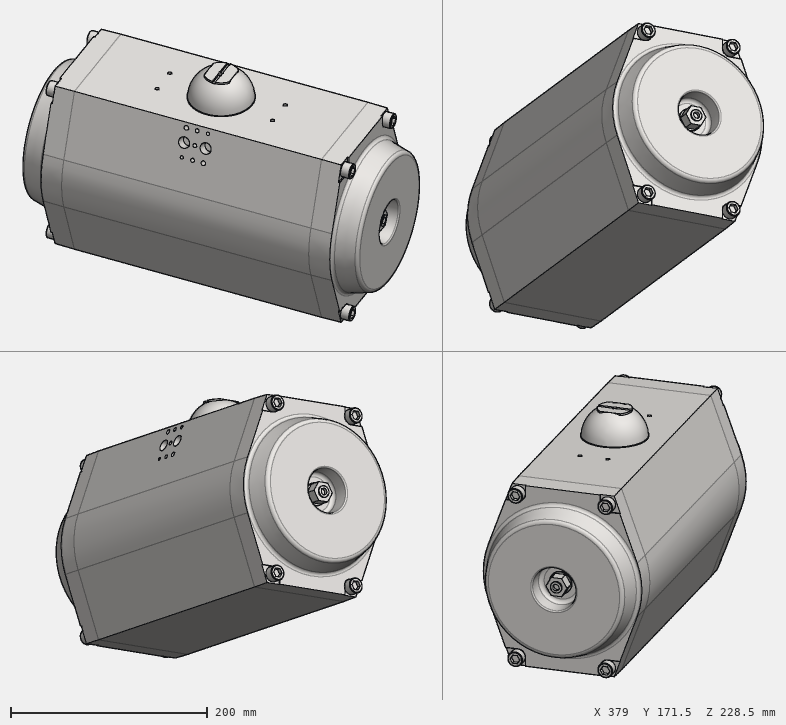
import cadquery as cq
import math


overall_length = 379.0
body_width = 171.5
body_radius = body_width / 2
body_half_height = 99.0
flank_angle = 20.0
seam_x = 139.0
flange_x = 162.5
cap_taper = 0.5

cover_face_x = overall_length / 2
cover_face_diameter = 141.5
cover_face_radius = cover_face_diameter / 2
cover_rim_radius = 4.5
cover_draft = 15.0
cover_root_radius = 4.0

recess_mouth_diameter = 47.0
recess_diameter = 45.0
recess_depth = 22.0
recess_rim_radius = 1.5
recess_floor_radius = 4.5
washer_diameter = 24.0
washer_thickness = 2.0
nut_corners = 22.7
nut_face_depth = 7.5
stud_diameter = 12.0
stud_height = 1.5
stud_hole_diameter = 7.0
stud_hole_depth = 3.8

screw_y = 48.5
screw_z = 89.0
screw_head_diameter = 16.0
screw_head_x = 171.0
screw_pocket_depth = 1.5
screw_pocket_radius = 8.5
screw_pocket_size = 38.0
screw_head_chamfer = 0.8
socket_corners = 10.2
socket_depth = 4.5

dome_diameter = 69.0
base_ring_diameter = 69.7
base_ring_height = 0.8
indicator_height = 30.5
spindle_diameter = 36.0
spindle_flats = 28.5
slot_width = 3.5
slot_depth = 2.3
center_hole_diameter = 5.0
center_hole_depth = 5.5

top_hole_pitch_x = 130.0
top_hole_pitch_y = 30.0
top_hole_diameter = 4.0
top_hole_depth = 7.5

port_drop = 20.5
port_diameter = 12.0
port_depth = 12.5
port_pitch_x = 12.0
port_pitch_slope = 16.0
small_hole_depth = 11.5
middle_hole_diameter = 4.0
wide_hole_diameter = 5.0
narrow_hole_diameter = 3.5

sin_flank = math.sin(math.radians(flank_angle))
cos_flank = math.cos(math.radians(flank_angle))


def flank_y(radius, z):
    """Half width at height z on a flank tangent to a circle of the given radius."""
    return (radius - z * sin_flank) / cos_flank


def body_outline(workplane, radius, half_height=body_half_height):
    """Flat top and bottom, sloping flanks, and side arcs tangent to the flanks."""
    top_y = flank_y(radius, half_height)
    tangent_y = radius * cos_flank
    tangent_z = radius * sin_flank
    return (
        workplane.moveTo(-top_y, half_height)
        .lineTo(top_y, half_height)
        .lineTo(tangent_y, tangent_z)
        .threePointArc((radius, 0), (tangent_y, -tangent_z))
        .lineTo(top_y, -half_height)
        .lineTo(-top_y, -half_height)
        .lineTo(-tangent_y, -tangent_z)
        .threePointArc((-radius, 0), (-tangent_y, tangent_z))
        .close()
    )


def cylinder_x(diameter, x_start, x_end, y=0, z=0):
    plane = cq.Workplane("YZ", origin=(x_start, y, z))
    return plane.circle(diameter / 2).extrude(x_end - x_start)


def hexagon_x(corners, x_start, x_end, y=0, z=0):
    """Hexagonal prism along X with two corners pointing along Y."""
    plane = cq.Workplane("YZ", origin=(x_start, y, z))
    return plane.polygon(6, corners).extrude(x_end - x_start)


def make_cap():
    """End cap tapering slightly from the body seam to its outer face."""
    end_radius = body_radius - cap_taper
    end_half_height = body_half_height - cap_taper
    start = body_outline(cq.Workplane("YZ", origin=(seam_x, 0, 0)), body_radius)
    ends = body_outline(start.workplane(offset=flange_x - seam_x), end_radius, end_half_height)
    return ends.loft(ruled=True)


def make_cover():
    """Turned cover: rounded rim, drafted wall and a fillet running out on the cap face."""
    sin_draft = math.sin(math.radians(cover_draft))
    cos_draft = math.cos(math.radians(cover_draft))
    rim_center_x = cover_face_x - cover_rim_radius
    wall_top_x = rim_center_x + cover_rim_radius * sin_draft
    wall_top_radius = cover_face_radius + cover_rim_radius * cos_draft
    half_draft = math.radians(45 + cover_draft / 2)
    rim_mid_x = rim_center_x + cover_rim_radius * math.sin(half_draft)
    rim_mid_radius = cover_face_radius + cover_rim_radius * math.cos(half_draft)
    wall_foot_x = flange_x + cover_root_radius * (1 - sin_draft)
    wall_foot_radius = wall_top_radius + (wall_top_x - wall_foot_x) * sin_draft / cos_draft
    root_center_x = flange_x + cover_root_radius
    root_center_radius = wall_foot_radius + cover_root_radius * cos_draft
    root_mid_x = root_center_x - cover_root_radius * math.sin(half_draft)
    root_mid_radius = root_center_radius - cover_root_radius * math.cos(half_draft)
    profile = (
        cq.Workplane("XY")
        .moveTo(seam_x, 0)
        .lineTo(cover_face_x, 0)
        .lineTo(cover_face_x, cover_face_radius)
        .threePointArc((rim_mid_x, rim_mid_radius), (wall_top_x, wall_top_radius))
        .lineTo(wall_foot_x, wall_foot_radius)
        .threePointArc((root_mid_x, root_mid_radius), (flange_x, root_center_radius))
        .lineTo(seam_x, root_center_radius)
        .close()
    )
    return profile.revolve(360, (0, 0, 0), (1, 0, 0))


def add_cover_recess(end):
    """Round recess with a washer, hexagon nut and drilled stud on its floor."""
    floor_x = cover_face_x - recess_depth
    recess = (
        cq.Workplane("YZ", origin=(floor_x, 0, 0))
        .circle(recess_diameter / 2)
        .workplane(offset=recess_depth)
        .circle(recess_mouth_diameter / 2)
        .loft(ruled=True)
    )
    recess = recess.faces("<X").edges().fillet(recess_floor_radius)
    end = end.cut(recess)
    rim = cq.selectors.RadiusNthSelector(0)
    end = end.faces(">X").edges(rim).fillet(recess_rim_radius)

    nut_x = cover_face_x - nut_face_depth
    stud_x = nut_x + stud_height
    washer = cylinder_x(washer_diameter, floor_x, floor_x + washer_thickness)
    nut = hexagon_x(nut_corners, floor_x, nut_x)
    stud = cylinder_x(stud_diameter, floor_x, stud_x)
    stud_hole = cylinder_x(stud_hole_diameter, stud_x - stud_hole_depth, stud_x)
    return end.union(washer).union(nut).union(stud).cut(stud_hole)


def add_cap_screws(end):
    """Socket head screws, each in a pocket that runs out over the cap corner."""
    pocket_x = flange_x - screw_pocket_depth
    pocket_length = screw_head_x - pocket_x
    pocket_shift = screw_pocket_size / 2 - screw_pocket_radius
    for side_y in (-1, 1):
        for side_z in (-1, 1):
            y = side_y * screw_y
            z = side_z * screw_z
            pocket_y = y + side_y * pocket_shift
            pocket_z = z + side_z * pocket_shift
            pocket = (
                cq.Workplane("YZ", origin=(pocket_x, pocket_y, pocket_z))
                .rect(screw_pocket_size, screw_pocket_size)
                .extrude(pocket_length)
                .edges("|X")
                .fillet(screw_pocket_radius)
            )
            head = cylinder_x(screw_head_diameter, pocket_x, screw_head_x, y, z)
            head = head.faces(">X").chamfer(screw_head_chamfer)
            socket = hexagon_x(socket_corners, screw_head_x - socket_depth, screw_head_x, y, z)
            end = end.cut(pocket).union(head.cut(socket))
    return end


def make_end():
    """Complete end on the +X side."""
    end = make_cap().union(make_cover())
    return add_cap_screws(add_cover_recess(end))


def make_indicator():
    """Dome with the slotted, double-flatted spindle end set into its crown."""
    crown_radius = spindle_flats / 2
    foot_radius = dome_diameter / 2
    sphere_center_z = (
        crown_radius**2 + indicator_height**2 - foot_radius**2 - base_ring_height**2
    ) / (2 * (indicator_height - base_ring_height))
    sphere_radius = math.hypot(crown_radius, indicator_height - sphere_center_z)
    mid_radius = sphere_radius * math.cos(math.radians(45))
    profile = (
        cq.Workplane("XZ", origin=(0, 0, body_half_height))
        .lineTo(base_ring_diameter / 2, 0)
        .lineTo(base_ring_diameter / 2, base_ring_height)
        .lineTo(foot_radius, base_ring_height)
        .threePointArc((mid_radius, sphere_center_z + mid_radius), (crown_radius, indicator_height))
        .lineTo(0, indicator_height)
        .close()
    )
    dome = profile.revolve(360, (0, 0, 0), (0, 1, 0))

    base = cq.Workplane("XY", origin=(0, 0, body_half_height))
    flats = base.rect(spindle_flats, spindle_diameter).extrude(indicator_height)
    spindle = base.circle(spindle_diameter / 2).extrude(indicator_height).intersect(flats)

    crown = base.workplane(offset=indicator_height)
    slot = crown.rect(slot_width, spindle_diameter).extrude(-slot_depth)
    center_hole = crown.circle(center_hole_diameter / 2).extrude(-center_hole_depth)
    return dome.union(spindle).cut(slot).cut(center_hole)


def cut_top_holes(part):
    """Four blind holes around the indicator."""
    holes = (
        cq.Workplane("XY", origin=(0, 0, body_half_height))
        .rect(top_hole_pitch_x, top_hole_pitch_y, forConstruction=True)
        .vertices()
        .circle(top_hole_diameter / 2)
        .extrude(-top_hole_depth)
    )
    return part.cut(holes)


def cut_air_ports(part):
    """Two ports and a pattern of small holes, square to the flank on the -Y side."""
    port_z = body_half_height - port_drop
    flank = cq.Workplane(
        cq.Plane(
            origin=(0, -flank_y(body_radius, port_z), port_z),
            xDir=(1, 0, 0),
            normal=(0, -cos_flank, sin_flank),
        )
    )
    ports = [(-port_pitch_x, 0), (port_pitch_x, 0)]
    middle_holes = [(0, row * port_pitch_slope) for row in (-1, 0, 1)]
    wide_holes = [(-port_pitch_x, port_pitch_slope), (port_pitch_x, -port_pitch_slope)]
    narrow_holes = [(port_pitch_x, port_pitch_slope), (-port_pitch_x, -port_pitch_slope)]
    hole_sets = (
        (ports, port_diameter, port_depth),
        (middle_holes, middle_hole_diameter, small_hole_depth),
        (wide_holes, wide_hole_diameter, small_hole_depth),
        (narrow_holes, narrow_hole_diameter, small_hole_depth),
    )
    for places, diameter, depth in hole_sets:
        part = part.cut(flank.pushPoints(places).circle(diameter / 2).extrude(-depth))
    return part


body = body_outline(cq.Workplane("YZ", origin=(-seam_x, 0, 0)), body_radius).extrude(2 * seam_x)
end_cap = make_end()
part = body.union(end_cap).union(end_cap.mirror("YZ")).union(make_indicator())
result = cut_air_ports(cut_top_holes(part))